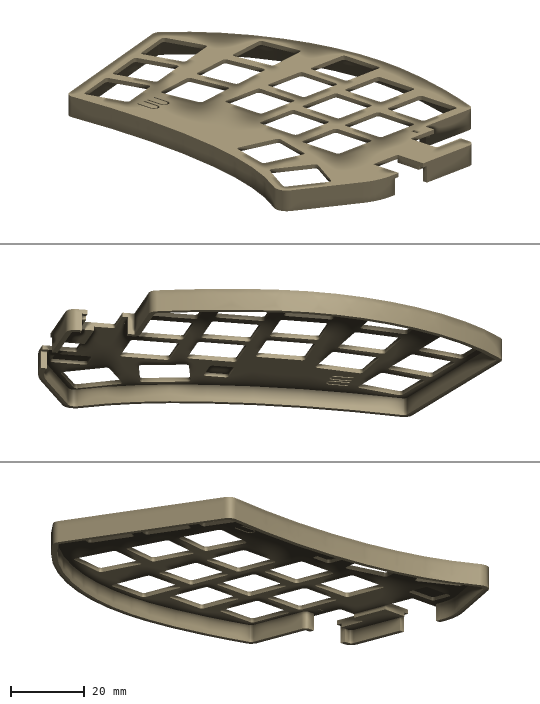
import cadquery as cq
import math

height = 6.0
plate_thickness = 1.2
plate_bottom = height - plate_thickness
wall = 1.6

left_corner = (-0.2, 64.2)
bottom_left_corner = (14.4, 13.0)
bottom_tip = (106.4, -1.6)
right_side = 120.7
right_bend = (right_side, 23.7)
tab_top = 62.0
tab_corner = (right_side, tab_top)
step_x = 102.1
top_right_corner = (step_x, 81.1)

back_edge = [(23.2, 82.0), (57.4, 90.3), (80.9, 87.5)]
front_edge = [(90.5, 6.8), (68.8, 12.2), (39.8, 14.4)]

corner_radius = 2.5
tip_radius = 3.6
bend_radius = 17.1

key_size = 13.8
key_corner_radius = 0.9
key_pitch = 17.0
keys_per_column = 3
key_columns = [
    ((22.0, 25.4), 16),
    ((37.5, 39.6), 8),
    ((56.1, 45.5), 0),
    ((74.0, 40.1), 0),
    ((92.1, 37.5), 0),
]
thumb_keys = [
    ((84.0, 19.9), -15),
    ((102.5, 11.8), -30),
]

notch_width = 9.8
notch_depth = 9.5
notch_corner_radius = 0.5
notch_clearance = 1.6
back_notch_x = 110.4
side_notch_y = 36.3
notches = [
    ((back_notch_x, tab_top), notch_width, 2 * notch_depth),
    ((right_side, side_notch_y), 2 * notch_depth, notch_width),
]

pad_bottom = 3.7

pocket_skin = 0.2
pocket_corner_radius = 0.8
pockets = [
    ((111.3, 25.4), 10.4, 6.8),
    ((69.9, 24.8), 6.9, 8.5),
]

tongue_width = 2.5
tongue_straight = 5.0
tongue_start_x = 33.1
tongue_centers_y = [26.7, 22.7]
slit_width = 0.5

slot_center = (102.9, 57.6)
slot_length = 2.2
slot_width = 1.5


def rounded_corner(body, corner, radius):
    """Round the upright edge nearest to a corner of the outline."""
    nearest = cq.selectors.NearestToPointSelector((*corner, 0))
    return body.edges("|Z").edges(nearest).fillet(radius)


def outline_block(thickness):
    """Solid with the full outer outline, standing on the XY plane."""
    body = (
        cq.Workplane("XY")
        .moveTo(*left_corner)
        .spline([*back_edge, top_right_corner], includeCurrent=True)
        .lineTo(step_x, tab_top)
        .lineTo(*tab_corner)
        .lineTo(*right_bend)
        .lineTo(*bottom_tip)
        .spline([*front_edge, bottom_left_corner], includeCurrent=True)
        .close()
        .extrude(thickness)
    )
    for corner in (left_corner, bottom_left_corner, top_right_corner, tab_corner):
        body = rounded_corner(body, corner, corner_radius)
    body = rounded_corner(body, bottom_tip, tip_radius)
    return rounded_corner(body, right_bend, bend_radius)


def rounded_block(center, length, width, bottom, top, radius):
    """Upright block with rounded vertical edges."""
    return (
        cq.Workplane("XY", origin=(*center, bottom))
        .box(length, width, top - bottom, centered=(True, True, False))
        .edges("|Z")
        .fillet(radius)
    )


def key_window(center, tilt):
    """Square key opening through the plate, turned about its own centre."""
    window = rounded_block((0, 0), key_size, key_size, plate_bottom, height, key_corner_radius)
    return window.rotate((0, 0, 0), (0, 0, 1), tilt).translate((*center, 0))


def tab_pad():
    """Block under the tab, from the side notch up to the back edge."""
    left = right_side - notch_depth
    front = side_notch_y + notch_width / 2
    return cq.Workplane("XY", origin=(left, front, pad_bottom)).box(
        right_side - left, tab_top - front, plate_bottom - pad_bottom, centered=False
    )


def notch_opening(center, length, width):
    """Notch through the plate and the pad."""
    return rounded_block(center, length, width, pad_bottom, height, notch_corner_radius)


def notch_clearance_block(center, length, width):
    """Wider gap in the rim below a notch."""
    clear_length = length + 2 * notch_clearance
    clear_width = width + 2 * notch_clearance
    return rounded_block(center, clear_length, clear_width, 0, plate_bottom, notch_corner_radius)


def tongue_slit(center_y):
    """U-shaped slit, open to the left, around one tongue."""
    outer = (tongue_width + slit_width) / 2
    inner = (tongue_width - slit_width) / 2
    return (
        cq.Workplane("XY", origin=(tongue_start_x, center_y, plate_bottom))
        .moveTo(0, outer)
        .lineTo(tongue_straight, outer)
        .threePointArc((tongue_straight + outer, 0), (tongue_straight, -outer))
        .lineTo(0, -outer)
        .lineTo(0, -inner)
        .lineTo(tongue_straight, -inner)
        .threePointArc((tongue_straight + inner, 0), (tongue_straight, inner))
        .lineTo(0, inner)
        .close()
        .extrude(plate_thickness)
    )


def ramped_slot():
    """Slot through the plate whose back side slopes at 45 degrees."""
    x, y = slot_center
    front = y - slot_width / 2
    back = y + slot_width / 2
    return (
        cq.Workplane("YZ", origin=(x - slot_length / 2, 0, 0))
        .moveTo(back, height)
        .lineTo(front, height)
        .lineTo(front, plate_bottom)
        .lineTo(back - plate_thickness, plate_bottom)
        .close()
        .extrude(slot_length)
    )


rim = outline_block(plate_bottom).faces("|Z").shell(-wall)
cavity = outline_block(plate_bottom).cut(rim)
result = outline_block(height).cut(cavity)

for notch in notches:
    result = result.cut(notch_clearance_block(*notch))
result = result.union(tab_pad().intersect(cavity))
for notch in notches:
    result = result.cut(notch_opening(*notch))

for (x, y), tilt in key_columns:
    angle = math.radians(tilt)
    for row in range(keys_per_column):
        rise = row * key_pitch
        center = (x - rise * math.sin(angle), y + rise * math.cos(angle))
        result = result.cut(key_window(center, tilt))
for center, tilt in thumb_keys:
    result = result.cut(key_window(center, tilt))

for center, length, width in pockets:
    pocket = rounded_block(
        center, length, width, plate_bottom, height - pocket_skin, pocket_corner_radius
    )
    result = result.cut(pocket)

for center_y in tongue_centers_y:
    result = result.cut(tongue_slit(center_y))
result = result.cut(ramped_slot())